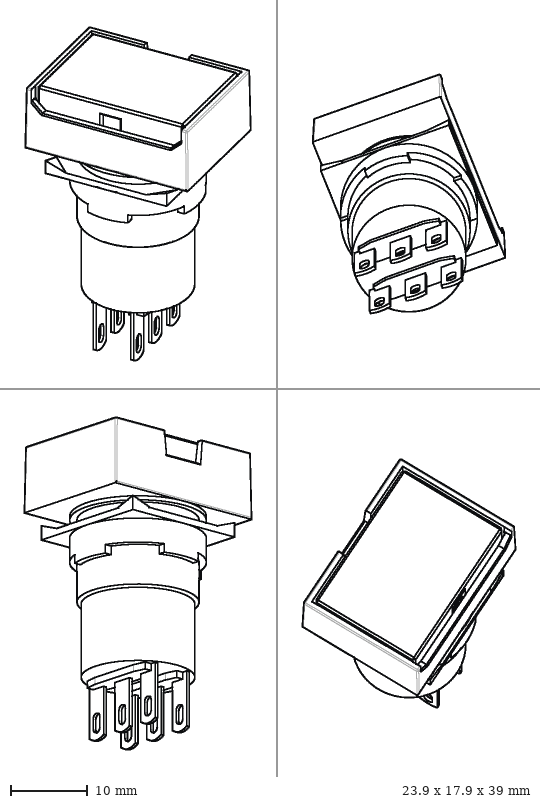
import cadquery as cq
import math

TOP_Z = 39.0
CAP_TOP_Z = TOP_Z
NOTCH_FLOOR_Z = 35.72
CAVITY_FLOOR_Z = 33.15
BEZEL_BOTTOM_Z = 29.95
FLANGE_BOTTOM_Z = 29.4
CLAW_TIP_Z = 28.85
PLATE_TOP_Z = 27.8
PLATE_BOTTOM_Z = 26.9
TOOTH_ROOT_Z = 23.65
NUT_BOTTOM_Z = 22.45
NECK_BOTTOM_Z = 18.2
BARREL_BOTTOM_Z = 7.95
STANDOFF_BOTTOM_Z = 7.02

BEZEL_LENGTH = 23.9
BEZEL_WIDTH = 17.9
BEZEL_DRAFT = 0.9
BEZEL_FILLET = 0.2
OPENING_LENGTH = 22.07
OPENING_WIDTH = 15.9
LOWER_LIP_HEIGHT = 0.27
LOWER_LIP_DEPTH = 0.08
NOTCH_CORNER_Z = 37.2
NOTCH_FLOOR_HALF = 9.45
NOTCH_CHAMFER = 0.2
BACK_NOTCH_FLOOR_HALF = 3.0
BACK_NOTCH_TOP_HALF = 3.3
GUIDE_RIB_OFFSET = 2.25
GUIDE_RIB_WIDTH = 0.35
GUIDE_RIB_TOP_Z = 36.65

CAP_LENGTH = 21.53
CAP_WIDTH = 15.35
CAP_CHAMFER = 0.3
CAP_RECESS_HALF = 1.55
CAP_RECESS_TOP_Z = 37.45
CAP_RECESS_BOTTOM_Z = 34.32
CAP_RECESS_DEPTH = 0.3
CAP_RECESS_DRAFT = 45

FLANGE_RADIUS = 8.9
NECK_RADIUS = 7.95
BARREL_RADIUS = 7.4
NECK_CHAMFER_HEIGHT = 0.27

NUT_SIZE = 17.82
NUT_RADIUS = NUT_SIZE / 2
CLAW_LEG = 3.05
TOOTH_WIDTH = 5.93

ROW_OFFSET = 2.75
TERMINAL_PITCH = 5.0
TERMINAL_THICKNESS = 0.45
TERMINAL_WIDTH = 2.8
TERMINAL_TIP_RISE = 0.45
SLOT_WIDTH = 1.25
SLOT_LENGTH = 2.65
SLOT_CENTRE_Z = 2.35
STANDOFF_HALF_WIDTH = 1.4
STANDOFF_END_HALF_WIDTH = 1.05
STANDOFF_FLAT_HALF_LENGTH = 3.75
STANDOFF_HALF_LENGTH = 5.6


def box_between(x_min, x_max, y_min, y_max, z_min, z_max):
    size = (x_max - x_min, y_max - y_min, z_max - z_min)
    return cq.Workplane().box(*size, centered=False).translate((x_min, y_min, z_min))


def disc(radius, z_min, z_max):
    return cq.Workplane(origin=(0, 0, z_min)).circle(radius).extrude(z_max - z_min)



def outer_wall_y(side):
    """Y of the lower edge of the drafted outer wall on the given Y side."""
    return side * BEZEL_WIDTH / 2


def bezel_block():
    height = TOP_Z - BEZEL_BOTTOM_Z
    block = (
        cq.Workplane(origin=(0, 0, BEZEL_BOTTOM_Z))
        .rect(BEZEL_LENGTH, BEZEL_WIDTH)
        .extrude(height, taper=BEZEL_DRAFT)
    )
    block = block.edges("not(#Z or |X or |Y)").fillet(BEZEL_FILLET)
    block = block.faces(">Z").edges().fillet(BEZEL_FILLET)
    return block


def lower_lip_cut(side):
    """Thin wedge taken off the lower edge of the wall on the given Y side."""
    wall_y = outer_wall_y(side)
    return (
        cq.Workplane("YZ", origin=(-BEZEL_LENGTH / 2, 0, 0))
        .moveTo(wall_y - side * LOWER_LIP_DEPTH, BEZEL_BOTTOM_Z)
        .lineTo(wall_y, BEZEL_BOTTOM_Z)
        .lineTo(wall_y, BEZEL_BOTTOM_Z + LOWER_LIP_HEIGHT)
        .close()
        .extrude(BEZEL_LENGTH)
    )


def cavity():
    """Pocket for the cap, narrowing from the rim opening to the cap size at its floor."""
    depth = TOP_Z - CAVITY_FLOOR_Z
    draft = math.degrees(math.atan((OPENING_LENGTH - CAP_LENGTH) / 2 / depth))
    return (
        cq.Workplane(origin=(0, 0, TOP_Z))
        .rect(OPENING_LENGTH, OPENING_WIDTH)
        .extrude(-depth, taper=draft)
    )


def wall_notch(outline, side):
    """Cutter with an XZ outline that passes through the wall on the given Y side."""
    inner_y = side * CAP_WIDTH / 2
    return (
        cq.Workplane("XZ", origin=(0, inner_y, 0))
        .polyline(outline).close()
        .extrude(inner_y - outer_wall_y(side))
    )


def front_notch():
    top_half = OPENING_LENGTH / 2
    outline = [
        (-top_half, TOP_Z),
        (-top_half, NOTCH_CORNER_Z),
        (-NOTCH_FLOOR_HALF, NOTCH_FLOOR_Z),
        (NOTCH_FLOOR_HALF, NOTCH_FLOOR_Z),
        (top_half, NOTCH_CORNER_Z),
        (top_half, TOP_Z),
    ]
    return wall_notch(outline, -1)


def back_notch():
    outline = [
        (-BACK_NOTCH_TOP_HALF, TOP_Z),
        (-BACK_NOTCH_FLOOR_HALF, NOTCH_FLOOR_Z),
        (BACK_NOTCH_FLOOR_HALF, NOTCH_FLOOR_Z),
        (BACK_NOTCH_TOP_HALF, TOP_Z),
    ]
    return wall_notch(outline, 1)


def chamfer_notch_rim(bezel, half_length, rim_top_z, side):
    """Break the outer edges of a notch that lie between its floor and rim_top_z."""
    mid_wall_y = side * (OPENING_WIDTH + BEZEL_WIDTH) / 4
    rim = cq.selectors.BoxSelector(
        (-half_length, mid_wall_y, NOTCH_FLOOR_Z - NOTCH_CHAMFER),
        (half_length, outer_wall_y(side), rim_top_z),
    )
    return bezel.edges(rim).edges("not |Y").chamfer(NOTCH_CHAMFER)


def guide_ribs():
    """Short ribs on the two side walls of the cavity that centre the cap."""
    ribs = cq.Workplane()
    half_rib = GUIDE_RIB_WIDTH / 2
    for side in (-1, 1):
        cap_x = side * CAP_LENGTH / 2
        wall_x = side * (OPENING_LENGTH / 2 + BEZEL_FILLET)
        x_min, x_max = sorted((cap_x, wall_x))
        for y in (-GUIDE_RIB_OFFSET, GUIDE_RIB_OFFSET):
            ribs = ribs.add(
                box_between(x_min, x_max, y - half_rib, y + half_rib, CAVITY_FLOOR_Z, GUIDE_RIB_TOP_Z)
            )
    return ribs.combine()


def make_bezel():
    bezel = bezel_block().cut(cavity()).cut(front_notch()).cut(back_notch())
    bezel = chamfer_notch_rim(bezel, OPENING_LENGTH / 2, NOTCH_CORNER_Z, -1)
    bezel = chamfer_notch_rim(bezel, BACK_NOTCH_FLOOR_HALF, NOTCH_CORNER_Z, 1)
    for side in (-1, 1):
        bezel = bezel.cut(lower_lip_cut(side))
    return bezel.union(guide_ribs())


def make_barrel():
    """Turned profile: flange, neck, chamfered shoulder and lower barrel."""
    profile = [
        (0, BEZEL_BOTTOM_Z),
        (FLANGE_RADIUS, BEZEL_BOTTOM_Z),
        (FLANGE_RADIUS, FLANGE_BOTTOM_Z),
        (NECK_RADIUS, FLANGE_BOTTOM_Z),
        (NECK_RADIUS, NECK_BOTTOM_Z),
        (BARREL_RADIUS, NECK_BOTTOM_Z - NECK_CHAMFER_HEIGHT),
        (BARREL_RADIUS, BARREL_BOTTOM_Z),
        (0, BARREL_BOTTOM_Z),
    ]
    return cq.Workplane("XZ").polyline(profile).close().revolve(360, (0, 0), (0, 1))


def make_standoff(x):
    quarter = [
        (STANDOFF_HALF_WIDTH, STANDOFF_FLAT_HALF_LENGTH),
        (STANDOFF_END_HALF_WIDTH, STANDOFF_HALF_LENGTH),
    ]
    upper = quarter + [(-px, py) for px, py in reversed(quarter)]
    outline = upper + [(-px, -py) for px, py in upper]
    return (
        cq.Workplane(origin=(x, 0, STANDOFF_BOTTOM_Z))
        .polyline(outline).close()
        .extrude(BARREL_BOTTOM_Z - STANDOFF_BOTTOM_Z)
    )


def make_terminal(x, y):
    """Blade with a rounded tip and a slot; its +X face lies at x."""
    half = TERMINAL_WIDTH / 2
    blade = (
        cq.Workplane("YZ", origin=(x - TERMINAL_THICKNESS, y, 0))
        .moveTo(-half, BARREL_BOTTOM_Z)
        .lineTo(-half, TERMINAL_TIP_RISE)
        .threePointArc((0, 0), (half, TERMINAL_TIP_RISE))
        .lineTo(half, BARREL_BOTTOM_Z)
        .close()
        .extrude(TERMINAL_THICKNESS)
    )
    slot = (
        cq.Workplane("YZ", origin=(x - TERMINAL_THICKNESS, y, SLOT_CENTRE_Z))
        .slot2D(SLOT_LENGTH, SLOT_WIDTH, 90)
        .extrude(TERMINAL_THICKNESS)
    )
    return blade.cut(slot)


def make_housing():
    housing = make_bezel().union(make_barrel())
    for x in (-ROW_OFFSET, ROW_OFFSET):
        housing = housing.union(make_standoff(x))
        for y in (-TERMINAL_PITCH, 0, TERMINAL_PITCH):
            housing = housing.union(make_terminal(x, y))
    return housing



def make_cap():
    cap = box_between(
        -CAP_LENGTH / 2, CAP_LENGTH / 2, -CAP_WIDTH / 2, CAP_WIDTH / 2, CAVITY_FLOOR_Z, CAP_TOP_Z
    )
    cap = cap.edges("|Z or >Z").chamfer(CAP_CHAMFER)
    recess = (
        cq.Workplane("XZ", origin=(0, -CAP_WIDTH / 2, (CAP_RECESS_TOP_Z + CAP_RECESS_BOTTOM_Z) / 2))
        .rect(2 * CAP_RECESS_HALF, CAP_RECESS_TOP_Z - CAP_RECESS_BOTTOM_Z)
        .extrude(-CAP_RECESS_DEPTH, taper=CAP_RECESS_DRAFT)
    )
    return cap.cut(recess)



def make_claw():
    """Wedge on the plate corner at +X +Y, rising from a diagonal fold to the corner."""
    corner = NUT_SIZE / 2
    fold = corner - CLAW_LEG
    base = [(fold, corner), (corner, corner), (corner, fold)]
    points = [cq.Vector(x, y, PLATE_TOP_Z) for x, y in base]
    tip = cq.Vector(corner, corner, CLAW_TIP_Z)
    triangles = [points]
    for i in range(len(points)):
        triangles.append([points[i - 1], points[i], tip])
    faces = [cq.Face.makeFromWires(cq.Wire.makePolygon(t, close=True)) for t in triangles]
    return cq.Workplane(cq.Solid.makeSolid(cq.Shell.makeShell(faces)))


def make_nut():
    plate = (
        cq.Workplane(origin=(0, 0, PLATE_BOTTOM_Z))
        .rect(NUT_SIZE, NUT_SIZE)
        .extrude(PLATE_TOP_Z - PLATE_BOTTOM_Z)
    )
    nut = plate.union(disc(NUT_RADIUS, TOOTH_ROOT_Z, PLATE_BOTTOM_Z))
    tooth_bars = cq.Workplane()
    for bar_size in ((NUT_SIZE, TOOTH_WIDTH), (TOOTH_WIDTH, NUT_SIZE)):
        bar = (
            cq.Workplane(origin=(0, 0, NUT_BOTTOM_Z))
            .rect(*bar_size)
            .extrude(TOOTH_ROOT_Z - NUT_BOTTOM_Z)
        )
        tooth_bars = tooth_bars.add(bar)
    tooth_bars = tooth_bars.combine()
    nut = nut.union(tooth_bars.intersect(disc(NUT_RADIUS, NUT_BOTTOM_Z, TOOTH_ROOT_Z)))
    for quarter_turn in range(4):
        nut = nut.union(make_claw().rotate((0, 0, 0), (0, 0, 1), 90 * quarter_turn))
    return nut.cut(disc(NECK_RADIUS, NUT_BOTTOM_Z, CLAW_TIP_Z))


housing = make_housing()
cap = make_cap()
nut = make_nut()

result = cq.Compound.makeCompound([housing.val(), cap.val(), nut.val()])